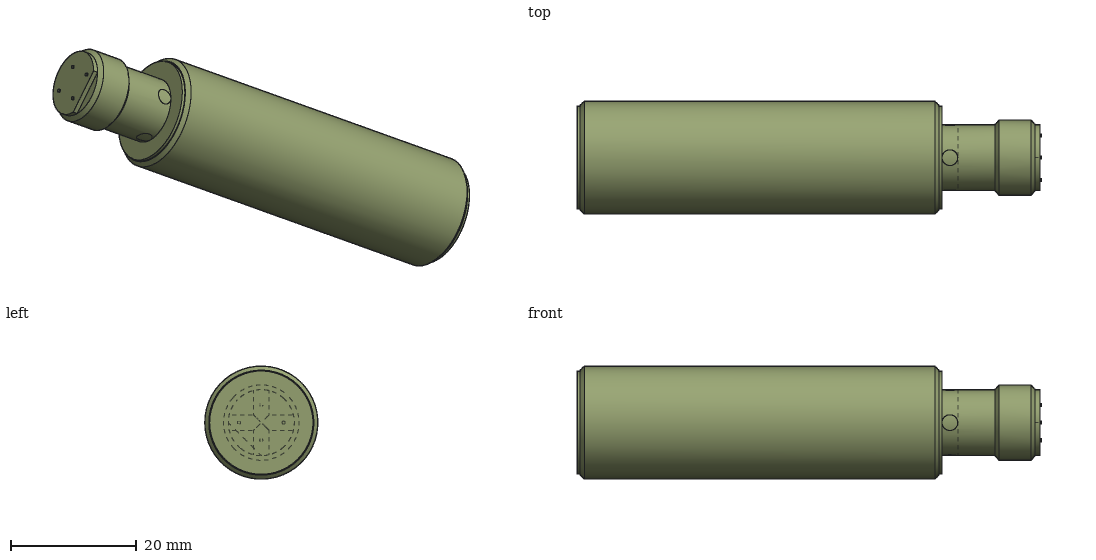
import cadquery as cq
import math

total_length = 73.8
barrel_length = 58.0
sleeve_radius = 9.0
sleeve_chamfer_length = 0.65
sleeve_chamfer_depth = 0.65
cap_radius = 8.2
cap_lip = 0.5

neck_radius = 5.25
collar_radius = 6.0
collar_start = 66.4
collar_end = 72.8
collar_chamfer_length = 0.65
collar_chamfer_depth = collar_radius - neck_radius

window_radius = 1.25

pin_radius = 0.25
pin_offset_y = 3.55
pin_offset_z = 2.8
pin_protrusion = 0.2
key_flat_angle = -45
key_flat_span = 90

sleeve_start = cap_lip
sleeve_end = barrel_length - cap_lip
tip_end = total_length - pin_protrusion
window_x = barrel_length + window_radius


def disc(start, end, radius):
    """Solid cylinder on the X axis."""
    return cq.Workplane("YZ").workplane(offset=start).circle(radius).extrude(end - start)


def chamfered_disc(start, end, radius, chamfer_length, chamfer_depth):
    """Solid cylinder on the X axis with both rims bevelled."""
    rim_radius = radius - chamfer_depth
    profile = [
        (start, 0),
        (start, rim_radius),
        (start + chamfer_length, radius),
        (end - chamfer_length, radius),
        (end, rim_radius),
        (end, 0),
    ]
    return cq.Workplane("XY").polyline(profile).close().revolve(360, (0, 0, 0), (1, 0, 0))


def make_windows():
    """Two crossed round rods, showing as four flush windows around the neck."""
    upright = (
        cq.Workplane("XY", origin=(window_x, 0, -neck_radius))
        .circle(window_radius)
        .extrude(2 * neck_radius)
    )
    level = upright.rotate((0, 0, 0), (1, 0, 0), 90)
    neck_band = disc(barrel_length, window_x + window_radius, neck_radius)
    return upright.union(level).intersect(neck_band)


def make_tip():
    """Rim behind the collar, with a key flat cut across one quarter of it."""
    flat_distance = neck_radius * math.cos(math.radians(key_flat_span / 2))
    keep = (
        cq.Workplane("YZ", origin=(collar_end, 0, 0))
        .center(flat_distance - neck_radius, 0)
        .rect(2 * neck_radius, 2 * neck_radius)
        .extrude(tip_end - collar_end)
        .rotate((0, 0, 0), (1, 0, 0), key_flat_angle)
    )
    return disc(collar_end, tip_end, neck_radius).intersect(keep)


def make_pin_tips():
    """Four contact ends standing just proud of the rear face."""
    pin_places = [
        (pin_offset_y, 0),
        (-pin_offset_y, 0),
        (0, pin_offset_z),
        (0, -pin_offset_z),
    ]
    return (
        cq.Workplane("YZ", origin=(tip_end, 0, 0))
        .pushPoints(pin_places)
        .circle(pin_radius)
        .extrude(pin_protrusion)
    )


def make_connector(window_rods):
    flange = disc(sleeve_end, barrel_length, cap_radius)
    neck = disc(barrel_length, collar_start, neck_radius)
    collar = chamfered_disc(
        collar_start, collar_end, collar_radius, collar_chamfer_length, collar_chamfer_depth
    )
    body = flange.union(neck).union(collar).union(make_tip()).union(make_pin_tips())
    return body.cut(window_rods)


sleeve = chamfered_disc(
    sleeve_start, sleeve_end, sleeve_radius, sleeve_chamfer_length, sleeve_chamfer_depth
)
cap = disc(0, cap_lip, cap_radius)
windows = make_windows()
connector = make_connector(windows)

result = cq.Compound.makeCompound([sleeve.val(), cap.val(), connector.val(), windows.val()])